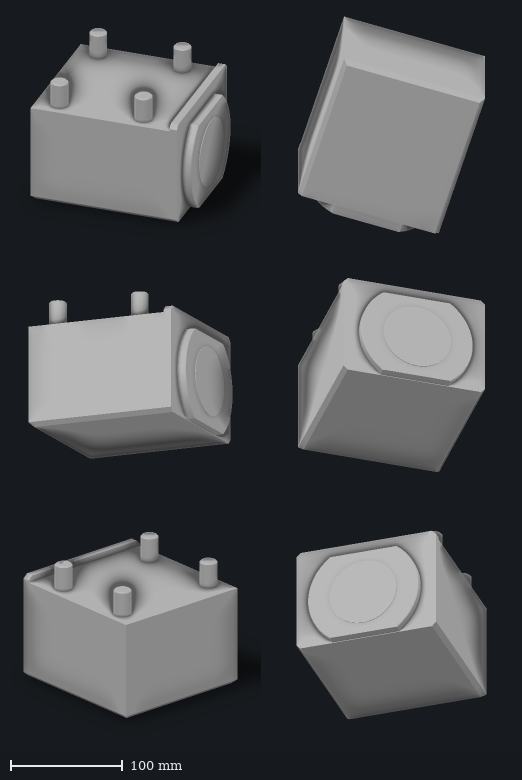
import cadquery as cq

total_length = 148.0
width = 132.0
total_height = 116.0

housing_length = 139.0
housing_height = 92.0
flange_thickness = 7.1
flange_height = 98.1
edge_chamfer = 4.0

pin_diameter = 16.0
pin_chamfer = 1.3
pin_first_x = 22.0
pin_pitch_x = 79.9
pin_pitch_y = 102.0

cover_diameter = 104.5
cover_height = 83.0
cover_center_z = 42.0
cover_chamfer = 0.6
pad_diameter = 63.0
pad_thickness = 0.6
cover_thickness = total_length - housing_length - pad_thickness


def make_housing():
    """Block with chamfered bottom edges on every side except the flange end."""
    block = cq.Workplane("XY").box(
        housing_length, width, housing_height, centered=(False, True, False)
    )
    side_edges = block.faces("<Z").edges("|X or <X")
    return side_edges.chamfer(edge_chamfer)


def make_flange_lip():
    """Lip of the end flange above the housing, with chamfered upper corners."""
    lip = cq.Workplane("XY", origin=(housing_length - flange_thickness, 0, housing_height)).box(
        flange_thickness, width, flange_height - housing_height, centered=(False, True, False)
    )
    return lip.faces(">Z").edges("|X").chamfer(edge_chamfer)


def make_pins():
    """Four round pins in a rectangular pattern, with chamfered tips."""
    pattern_center_x = pin_first_x + pin_pitch_x / 2
    return (
        cq.Workplane("XY", origin=(pattern_center_x, 0, housing_height))
        .rarray(pin_pitch_x, pin_pitch_y, 2, 2)
        .circle(pin_diameter / 2)
        .extrude(total_height - housing_height)
        .faces(">Z")
        .chamfer(pin_chamfer)
    )


def make_cover():
    """Disc with a chamfered rim, cut flat at top and bottom, with a thin round pad on its outer face."""
    end_plane = cq.Workplane("YZ", origin=(housing_length, 0, cover_center_z))
    disc = end_plane.circle(cover_diameter / 2).extrude(cover_thickness)
    disc = disc.faces(">X").chamfer(cover_chamfer)
    flat_band = end_plane.rect(cover_diameter, cover_height).extrude(cover_thickness)
    plate = disc.intersect(flat_band)
    pad = end_plane.circle(pad_diameter / 2).extrude(cover_thickness + pad_thickness)
    return plate.union(pad)


result = make_housing().union(make_flange_lip()).union(make_pins()).union(make_cover())